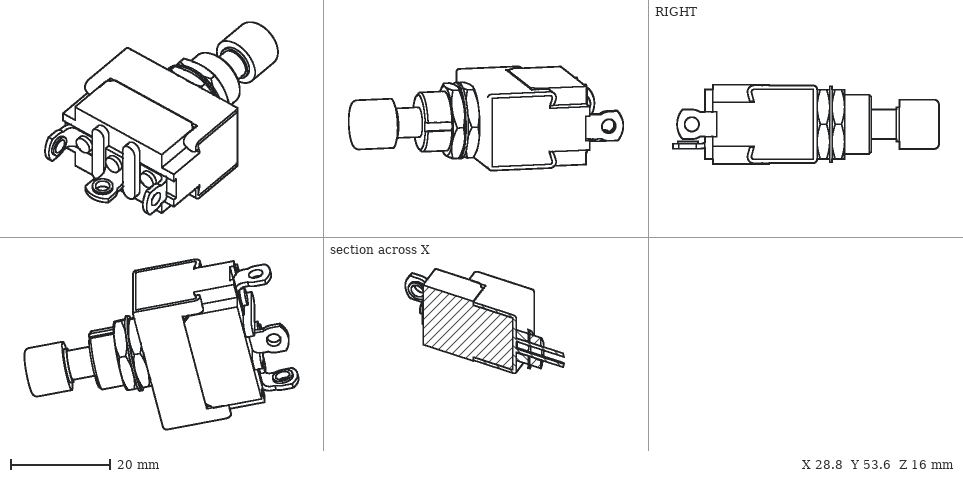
import cadquery as cq
import math


body_width = 28.8
housing_height = 16.0
core_height = 14.05
housing_back = -21.0
sheet = 0.8
frame_height = core_height + 2 * sheet
pad_width = 22.5
pad_front = -9.7
pad_chamfer = 1.4

tab_width = (body_width - pad_width) / 2
tab_center_x = (body_width - tab_width) / 2
bend_y = -12.75
bend_radius = 0.5
fold_past_square = 15
tab_tip_z = 4.65
pocket_floor_z = 4.45

bushing_diameter = 12.0
bushing_end = 10.95
bushing_chamfer = 0.5
keyway_width = 1.75
keyway_depth = 0.8
stem_diameter = 6.0
collar_diameter = 6.95
collar_end = 15.95
cap_diameter = 9.95
cap_start = 16.55
cap_end = 24.55
cap_fillet = 1.0

nut_across_flats = 14.0
nut_thickness = 2.5
nut_chamfer_angle = 30
washer_diameter = 15.4
washer_thickness = 0.5

overall_length = 53.6
terminal_thickness = 1.0
terminal_width = 5.0
terminal_bend = 1.5
terminal_length = overall_length - cap_end + housing_back
blade_width = 6.0
eye_distance = 5.05
blade_shoulder = 6.9
eye_diameter = 2.85
eyelet_diameter = 4.15
eyelet_height = 0.5
rivet_diameter = 3.45
rivet_height = 0.95
side_rivet_x = 8.25
side_foot_x = 5.7
side_reach = 13.2
center_reach = 4.95
recess_depth = 0.8

flare_start = eye_distance - math.sqrt(blade_width ** 2 - terminal_width ** 2) / 2

barrier_width = 3.0
barrier_length = 14.05
barrier_height = 1.6
barrier_x = (terminal_width + barrier_width) / 2


def block(x_range, y_range, z_range):
    """Box given by its limits along each axis."""
    (x0, x1), (y0, y1), (z0, z1) = x_range, y_range, z_range
    return cq.Workplane("XY").box(x1 - x0, y1 - y0, z1 - z0, centered=False).translate((x0, y0, z0))


def disc(diameter, y_start, y_end):
    """Cylinder on the Y axis."""
    return cq.Workplane("XZ", origin=(0, y_start, 0)).circle(diameter / 2).extrude(y_start - y_end)


def at_four_corners(solid):
    """The solid and its mirror images in X and Z."""
    pair = [solid, solid.mirror("YZ")]
    return pair + [item.mirror("XY") for item in pair]


def bend_point(radius, angle):
    """(y, z) on the bend of the +Z tabs; angle 0 is the top of the bend, growing backwards."""
    a = math.radians(angle)
    return (bend_y - radius * math.sin(a), core_height / 2 - bend_radius + radius * math.cos(a))


fold_angle = 90 + fold_past_square


def along_fold(point, z):
    """(y, z) reached from a bend end by following the folded tab down to height z."""
    y_start, z_start = point
    return (y_start + (z_start - z) * math.tan(math.radians(fold_past_square)), z)


def raised_pads():
    pads = block((-pad_width / 2, pad_width / 2), (housing_back, pad_front),
                 (-housing_height / 2, housing_height / 2))
    return pads.edges("|Z and >Y").chamfer(pad_chamfer)


def tab_pocket():
    """Pocket behind a tab; its front wall follows the inner face of the tab."""
    top = housing_height
    inner_end = bend_point(bend_radius, fold_angle)
    return (
        cq.Workplane("YZ", origin=(pad_width / 2, 0, 0))
        .moveTo(bend_y, top)
        .lineTo(*bend_point(bend_radius, 0))
        .threePointArc(bend_point(bend_radius, fold_angle / 2), inner_end)
        .lineTo(*along_fold(inner_end, pocket_floor_z))
        .lineTo(housing_back, pocket_floor_z)
        .lineTo(housing_back, top)
        .close()
        .extrude(tab_width)
    )


def barrier(x):
    return (
        cq.Workplane("XZ", origin=(x, housing_back, 0))
        .slot2D(barrier_length, barrier_width, 90)
        .extrude(barrier_height)
    )


def terminal_recess():
    return block((side_foot_x, body_width / 2), (housing_back, housing_back + recess_depth),
                 (-terminal_width / 2, terminal_width / 2))


def make_housing():
    housing = block((-body_width / 2, body_width / 2), (housing_back, -sheet),
                    (-core_height / 2, core_height / 2))
    for pocket in at_four_corners(tab_pocket()):
        housing = housing.cut(pocket)
    housing = housing.union(raised_pads())
    recess = terminal_recess()
    housing = housing.cut(recess).cut(recess.mirror("YZ"))
    for x in (-barrier_x, barrier_x):
        housing = housing.union(barrier(x))
    return housing


def frame_shell():
    """U-shaped sheet over the front, top and bottom of the housing, open around the pads."""
    shell = block((-body_width / 2, body_width / 2), (bend_y, 0), (-frame_height / 2, frame_height / 2))
    shell = shell.faces(">Y").edges().fillet(sheet)
    inside = block((-body_width, body_width), (2 * bend_y, -sheet), (-core_height / 2, core_height / 2))
    window = block((-pad_width / 2, pad_width / 2), (2 * bend_y, pad_front),
                   (-frame_height, frame_height))
    return shell.cut(inside).cut(window)


def frame_tab():
    """Curled end of a frame arm with a round tip."""
    outer_radius = bend_radius + sheet
    inner_end = bend_point(bend_radius, fold_angle)
    outer_end = bend_point(outer_radius, fold_angle)
    strip = (
        cq.Workplane("YZ", origin=(pad_width / 2, 0, 0))
        .moveTo(*bend_point(bend_radius, 0))
        .threePointArc(bend_point(bend_radius, fold_angle / 2), inner_end)
        .lineTo(*along_fold(inner_end, tab_tip_z))
        .lineTo(*along_fold(outer_end, tab_tip_z))
        .lineTo(*outer_end)
        .threePointArc(bend_point(outer_radius, fold_angle / 2), bend_point(outer_radius, 0))
        .close()
        .extrude(tab_width)
    )
    tip_radius = tab_width / 2
    rounded_outline = (
        cq.Workplane("XZ", origin=(tab_center_x, 0, 0))
        .moveTo(-tip_radius, frame_height)
        .lineTo(-tip_radius, tab_tip_z + tip_radius)
        .threePointArc((0, tab_tip_z), (tip_radius, tab_tip_z + tip_radius))
        .lineTo(tip_radius, frame_height)
        .close()
        .extrude(-housing_back)
    )
    return strip.intersect(rounded_outline)


def bushing():
    tube = disc(bushing_diameter, -sheet, bushing_end).faces(">Y").chamfer(bushing_chamfer)
    radius = bushing_diameter / 2
    keyway = block((-bushing_diameter, keyway_depth - radius), (0, bushing_end),
                   (-keyway_width / 2, keyway_width / 2))
    return tube.cut(keyway)


def push_button():
    cap = disc(cap_diameter, cap_start, cap_end).faces(">Y").edges().fillet(cap_fillet)
    collar = disc(collar_diameter, collar_end, cap_start)
    stem = disc(stem_diameter, bushing_end, collar_end)
    return cap.union(collar).union(stem)


def make_frame():
    frame = frame_shell()
    for tab in at_four_corners(frame_tab()):
        frame = frame.union(tab)
    return frame.union(bushing()).union(push_button())


def make_nut(y_start):
    """Hexagon nut with both faces chamfered; two corners point along X."""
    corner_radius = nut_across_flats / 2 / math.cos(math.radians(30))
    hexagon = (
        cq.Workplane("XZ")
        .polygon(6, 2 * corner_radius)
        .circle(bushing_diameter / 2)
        .extrude(-nut_thickness)
    )
    face_radius = nut_across_flats / 2
    chamfer_depth = (corner_radius - face_radius) * math.tan(math.radians(nut_chamfer_angle))
    envelope = (
        cq.Workplane("XY")
        .polyline([
            (0, 0),
            (face_radius, 0),
            (corner_radius, chamfer_depth),
            (corner_radius, nut_thickness - chamfer_depth),
            (face_radius, nut_thickness),
            (0, nut_thickness),
        ])
        .close()
        .revolve(360, (0, 0, 0), (0, 1, 0))
    )
    return hexagon.intersect(envelope).translate((0, y_start, 0))


def make_washer():
    y_end = nut_thickness + washer_thickness
    ring = disc(washer_diameter, nut_thickness, y_end)
    return ring.cut(disc(bushing_diameter, nut_thickness, y_end))


def bent_strip(foot_start, reach):
    """Foot along X, quarter bend and neck along -Y, mounted at y = 0."""
    outer_bend = terminal_bend + terminal_thickness
    axis_x = reach - outer_bend
    diagonal = math.sqrt(0.5)
    return (
        cq.Workplane("XY", origin=(0, 0, -terminal_width / 2))
        .moveTo(foot_start, 0)
        .lineTo(axis_x, 0)
        .threePointArc((axis_x + outer_bend * diagonal, outer_bend * (diagonal - 1)), (reach, -outer_bend))
        .lineTo(reach, -flare_start)
        .lineTo(reach - terminal_thickness, -flare_start)
        .lineTo(reach - terminal_thickness, -outer_bend)
        .threePointArc((axis_x + terminal_bend * diagonal, terminal_bend * diagonal - outer_bend),
                       (axis_x, -terminal_thickness))
        .lineTo(foot_start, -terminal_thickness)
        .close()
        .extrude(terminal_width)
    )


def terminal_blade(reach):
    """Flared blade with a round end and a raised eyelet on its inner face."""
    neck = terminal_width / 2
    half = blade_width / 2
    middle_angle = (math.asin(neck / half) + math.pi / 2) / 2
    flare_y = half * math.cos(middle_angle) - eye_distance
    flare_z = half * math.sin(middle_angle)
    outline = (
        cq.Workplane("YZ", origin=(reach - terminal_thickness, 0, 0))
        .moveTo(-flare_start, -neck)
        .threePointArc((flare_y, -flare_z), (-eye_distance, -half))
        .lineTo(-blade_shoulder, -half)
        .threePointArc((-terminal_length, 0), (-blade_shoulder, half))
        .lineTo(-eye_distance, half)
        .threePointArc((flare_y, flare_z), (-flare_start, neck))
        .close()
    )
    blade = outline.extrude(terminal_thickness)
    eye_plane = cq.Workplane("YZ", origin=(reach - terminal_thickness - eyelet_height, 0, 0))
    eye_plane = eye_plane.center(-eye_distance, 0)
    eyelet = eye_plane.circle(eyelet_diameter / 2).extrude(eyelet_height)
    eye = eye_plane.circle(eye_diameter / 2).extrude(eyelet_height + terminal_thickness)
    return blade.union(eyelet).cut(eye)


def make_terminal(foot_start, rivet_x, reach):
    rivet = disc(rivet_diameter, -terminal_thickness, -terminal_thickness - rivet_height)
    strip = bent_strip(foot_start, reach).union(terminal_blade(reach))
    return strip.union(rivet.translate((rivet_x, 0, 0)))


def place_terminal(terminal, turn, mount_y):
    """Turn a terminal about the button axis and set it at its mounting depth."""
    return terminal.rotate((0, 0, 0), (0, 1, 0), turn).translate((0, mount_y, 0))


housing = make_housing()
frame = make_frame()
washer = make_washer()
nuts = [make_nut(y) for y in (0, nut_thickness + washer_thickness)]

side_terminal = make_terminal(side_foot_x, side_rivet_x, side_reach)
center_terminal = make_terminal(-terminal_width / 2, 0, center_reach)
terminals = [place_terminal(side_terminal, turn, housing_back + recess_depth) for turn in (0, 180)]
terminals.append(place_terminal(center_terminal, 90, housing_back))

bodies = [housing, frame, washer, *nuts, *terminals]
result = cq.Compound.makeCompound([body.solids().val() for body in bodies])